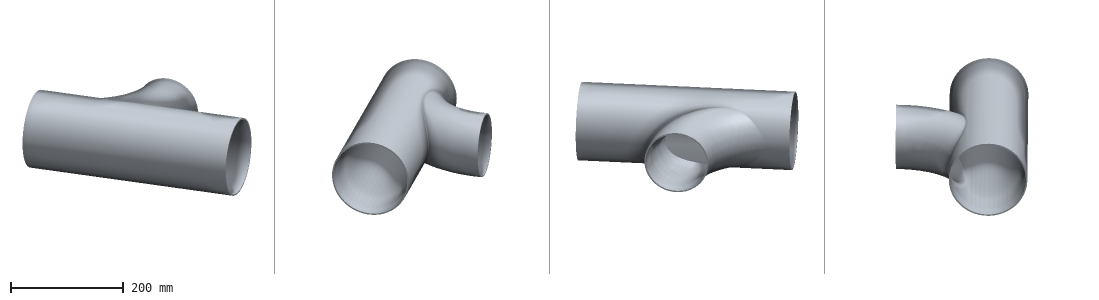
import cadquery as cq

run_length = 382.0
run_outer_diameter = 139.7
wall = 2.6
run_outer_radius = run_outer_diameter / 2
run_inner_radius = run_outer_radius - wall

branch_outer_diameter = 114.3
branch_outer_radius = branch_outer_diameter / 2
branch_inner_radius = branch_outer_radius - wall
bend_angle = 90.0
overall_width = 234.55
branch_end_y = overall_width - run_outer_radius

tangency_overshoot = 0.02
bend_radius = branch_end_y - run_outer_radius + branch_outer_radius + tangency_overshoot

seam_radius = wall / 2


def run_cylinder(radius):
    """Solid cylinder over the full run length, centred on the origin."""
    run_end = cq.Workplane("YZ", origin=(-run_length / 2, 0, 0))
    return run_end.circle(radius).extrude(run_length)


def branch_bend(radius):
    """Solid elbow from the +Y opening at X = 0, curving into the run towards -X."""
    opening = cq.Workplane("XZ", origin=(0, branch_end_y, 0)).circle(radius)
    axis_start = (-bend_radius, 0, 0)
    axis_end = (-bend_radius, -1, 0)
    return opening.revolve(bend_angle, axis_start, axis_end)


def tee(run_radius, branch_radius):
    """Solid run and branch, with their curved seam filleted."""
    joined = run_cylinder(run_radius).union(branch_bend(branch_radius))
    return joined.edges("%BSPLINE").fillet(seam_radius)


outside = tee(run_outer_radius, branch_outer_radius)
bore = tee(run_inner_radius, branch_inner_radius)
result = outside.cut(bore)